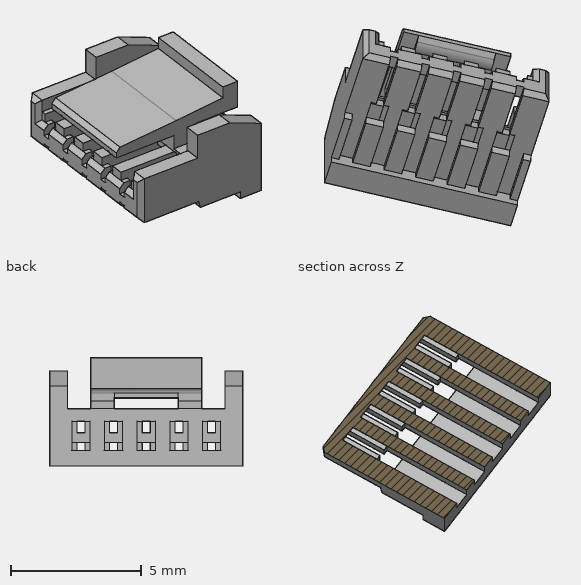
import cadquery as cq
import math

width = 7.4
length = 5.7
height = 4.15

body_bottom = 0.6
side_wall_top = 2.605
floor_top = 1.71
front_wall_thickness = 0.645
front_chamfer = 0.2
block_front = 2.7
block_top = 2.2

ear_thickness = 0.695
ear_top = 3.65
ear_back_top = 3.06
ear_slope_start = 4.21

contact_count = 5
contact_pitch = 1.25
cavity_width = 0.695
front_wall_depth = 0.49
divider_top = 2.08
ledge_top = 0.9
ledge_end = 2.05
cavity_undercut = 0.1
slot_width = 0.295
notch_bottom = 1.28

foot_front = 4.71
rib_bottom = 0.3
rib_tip = 2.75
rib_slope_run = 0.08
end_rib_width = 0.3

latch_width = 4.255
latch_under_front = 2.8
latch_under_back = 2.975
latch_nose_height = 3.03
latch_nose_top = 3.23
latch_nose_run = 0.18
latch_crease_y = 2.81
latch_crease_z = 3.44
grip_front = 5.0
grip_foot = 3.655
leg_gap = 2.44
leg_back = 3.66
leg_fillet = 0.185
leg_tail_top = 2.5
leg_tail_slope_start = 5.1
hook_width = 3.06
hook_slope_run = 0.215
hook_slope_end = 2.66
hook_lowest_y = 0.53
hook_bottom = 2.59
hook_back = 0.69
hook_back_bottom = 2.62

contact_xs = [contact_pitch * (i - (contact_count - 1) / 2) for i in range(contact_count)]


def block(x_center, x_width, y_start, y_end, z_start, z_end):
    """Box centred on x_center in X, with explicit limits in Y and Z."""
    return (
        cq.Workplane("XY")
        .box(x_width, y_end - y_start, z_end - z_start, centered=(True, False, False))
        .translate((x_center, y_start, z_start))
    )


def side_profile(points, x_center, x_width):
    """Solid of a closed (Y, Z) outline, spread evenly about x_center."""
    return (
        cq.Workplane("YZ", origin=(x_center, 0, 0))
        .polyline(points)
        .close()
        .extrude(x_width / 2, both=True)
    )


def make_trough():
    """Floor and low side walls, with every edge of the mating face chamfered."""
    half_outer = width / 2
    half_inner = half_outer - front_wall_thickness
    outline = [
        (-half_outer, body_bottom),
        (half_outer, body_bottom),
        (half_outer, side_wall_top),
        (half_inner, side_wall_top),
        (half_inner, floor_top),
        (-half_inner, floor_top),
        (-half_inner, side_wall_top),
        (-half_outer, side_wall_top),
    ]
    trough = cq.Workplane("XZ").polyline(outline).close().extrude(-block_front)
    return trough.faces("<Y").edges().chamfer(front_chamfer)


def make_ear(side):
    """Tall side wall of the rear block, falling away toward the back."""
    outline = [
        (block_front, body_bottom),
        (block_front, ear_top),
        (ear_slope_start, ear_top),
        (length, ear_back_top),
        (length, body_bottom),
    ]
    return side_profile(outline, side * (width - ear_thickness) / 2, ear_thickness)


def make_underside_rib(x_center, x_width):
    """Shallow rib below the body with a sloped front end."""
    outline = [
        (rib_tip, body_bottom),
        (rib_tip + rib_slope_run, rib_bottom),
        (foot_front, rib_bottom),
        (foot_front, body_bottom),
    ]
    return side_profile(outline, x_center, x_width)


def make_body():
    """Solid housing without cavities: trough, dividers, rear block, foot, ears and ribs."""
    body = make_trough()
    divider_width = width - 2 * front_wall_thickness
    body = body.union(block(0, divider_width, front_chamfer, block_front, floor_top, divider_top))
    body = body.union(block(0, width, block_front, length, body_bottom, block_top))
    body = body.union(block(0, width, foot_front, length, 0, body_bottom))
    for side in (-1, 1):
        body = body.union(make_ear(side))
        end_rib_x = side * (width - end_rib_width) / 2
        body = body.union(make_underside_rib(end_rib_x, end_rib_width))
    for x in contact_xs:
        body = body.union(make_underside_rib(x, cavity_width))
    return body


def cut_cavity(body, x):
    """Contact cavity, open at the back, open-topped ahead of the rear block and slotted in front."""
    body = body.cut(block(x, cavity_width, 0, block_front + cavity_undercut, floor_top, divider_top))
    body = body.cut(block(x, cavity_width, front_wall_depth, ledge_end, ledge_top, floor_top))
    body = body.cut(block(x, cavity_width, ledge_end, length, body_bottom, floor_top))
    body = body.cut(block(x, slot_width, 0, front_wall_depth, notch_bottom, floor_top))
    return body.cut(block(x, slot_width, 0, ledge_end, body_bottom, ledge_top))


def make_latch():
    """Lever on two legs with sloping tails, a finger grip at the back and a hook under its nose."""
    fillet_end = leg_back + leg_fillet
    fillet_middle = leg_fillet * (1 - math.sqrt(0.5))
    lever = (
        cq.Workplane("YZ")
        .moveTo(0, latch_under_front)
        .lineTo(0, latch_nose_height)
        .lineTo(latch_nose_run, latch_nose_top)
        .lineTo(latch_crease_y, latch_crease_z)
        .lineTo(grip_front, grip_foot)
        .lineTo(grip_front, height)
        .lineTo(length, height)
        .lineTo(length, latch_under_back)
        .lineTo(fillet_end, latch_under_back)
        .threePointArc(
            (leg_back + fillet_middle, latch_under_back - fillet_middle),
            (leg_back, latch_under_back - leg_fillet),
        )
        .lineTo(leg_back, leg_tail_top)
        .lineTo(leg_tail_slope_start, leg_tail_top)
        .lineTo(length, block_top)
        .lineTo(block_front, block_top)
        .lineTo(block_front, latch_under_front)
        .close()
        .extrude(latch_width / 2, both=True)
    )
    lever = lever.cut(block(0, leg_gap, block_front, length, block_top, latch_under_front))
    hook = (
        cq.Workplane("YZ")
        .moveTo(0, latch_under_front)
        .lineTo(hook_slope_run, hook_slope_end)
        .threePointArc((hook_lowest_y, hook_bottom), (hook_back, hook_back_bottom))
        .lineTo(hook_back, latch_under_front)
        .close()
        .extrude(hook_width / 2, both=True)
    )
    return lever.union(hook)


housing = make_body()
for contact_x in contact_xs:
    housing = cut_cavity(housing, contact_x)

result = housing.union(make_latch())